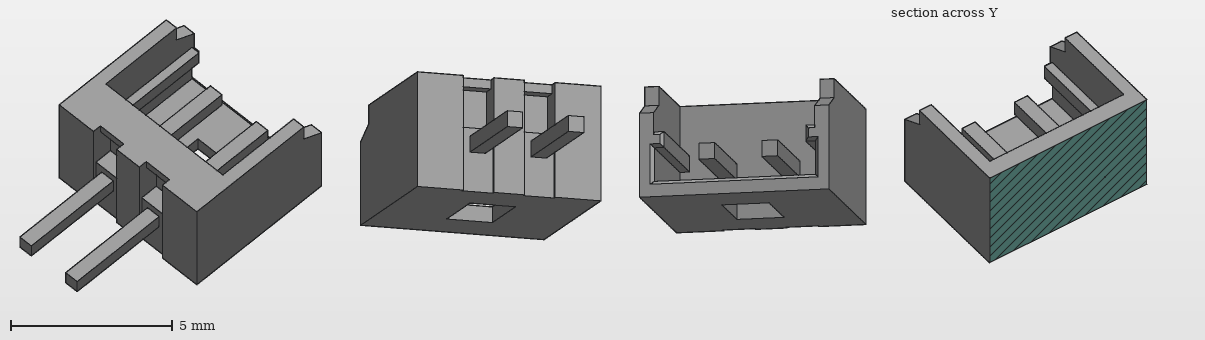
import cadquery as cq

width = 6.0
depth = 5.5
height = 3.65
side_wall = 0.45
front_wall = 1.6
floor_thickness = 0.5

notch_length = 0.78
notch_drop = 0.6
notch_slope_drop = notch_length / 2

lead_in = 0.11

rib_width = 0.31
rib_bottom = 1.57
rib_top = 2.07

pin_pitch = 2.0
pin_size = 0.5
pin_height = 1.5
pin_front = 3.5
pin_rear = 4.9

slot_width = 1.01
lower_depth = 0.11
lip_depth = 0.31
pocket_depth = 0.75
ledge_height = 2.025
lip_thickness = 0.29

window_width = pin_pitch - pin_size
window_rear = 3.83

inner_width = width - 2 * side_wall
pin_positions = [-pin_pitch / 2, pin_pitch / 2]


def box(x_center, x_size, y_start, y_end, z_start, z_end):
    """Box centred on x_center, spanning the given Y and Z ranges."""
    return cq.Workplane("XY").box(
        x_size, y_end - y_start, z_end - z_start, centered=(True, False, False)
    ).translate((x_center, y_start, z_start))


def side_profile(points, x_size):
    """Y-Z outline extruded symmetrically about the middle of the part."""
    return cq.Workplane("YZ").polyline(points).close().extrude(x_size / 2, both=True)


def make_housing():
    notch_front = depth - notch_length
    outer_points = [
        (0, 0),
        (depth, 0),
        (depth, height - notch_drop - notch_slope_drop),
        (notch_front, height - notch_drop),
        (notch_front, height),
        (0, height),
    ]
    cavity_points = [
        (front_wall, floor_thickness),
        (depth, floor_thickness),
        (depth, height),
        (front_wall, height),
    ]
    return side_profile(outer_points, width).cut(side_profile(cavity_points, inner_width))


def make_slot(x):
    """Shallow groove below the ledge, deep pocket above it, lip at the top."""
    lip_bottom = height - lip_thickness
    groove = box(x, slot_width, 0, lower_depth, 0, ledge_height)
    pocket = box(x, slot_width, 0, pocket_depth, ledge_height, lip_bottom)
    lip_gap = box(x, slot_width, 0, lip_depth, lip_bottom, height)
    return groove.union(pocket).union(lip_gap)


def make_pin(x):
    half = pin_size / 2
    return box(x, pin_size, -pin_front, pin_rear, pin_height - half, pin_height + half)


def make_rib(side):
    x = side * (inner_width - rib_width) / 2
    return box(x, rib_width, front_wall, depth, rib_bottom, rib_top)


def chamfer_mouth(body):
    """Chamfer the rear edges of the cavity from the floor up to the rib tops."""
    margin = 0.01
    mouth_edges = cq.selectors.BoxSelector(
        (-inner_width / 2 - margin, depth - margin, floor_thickness - margin),
        (inner_width / 2 + margin, depth + margin, rib_top + margin),
    )
    return body.edges(mouth_edges).chamfer(lead_in)


result = make_housing()
result = result.cut(box(0, window_width, front_wall, window_rear, 0, floor_thickness))
for side in (-1, 1):
    result = result.union(make_rib(side))
result = chamfer_mouth(result)
for x in pin_positions:
    result = result.cut(make_slot(x)).union(make_pin(x))